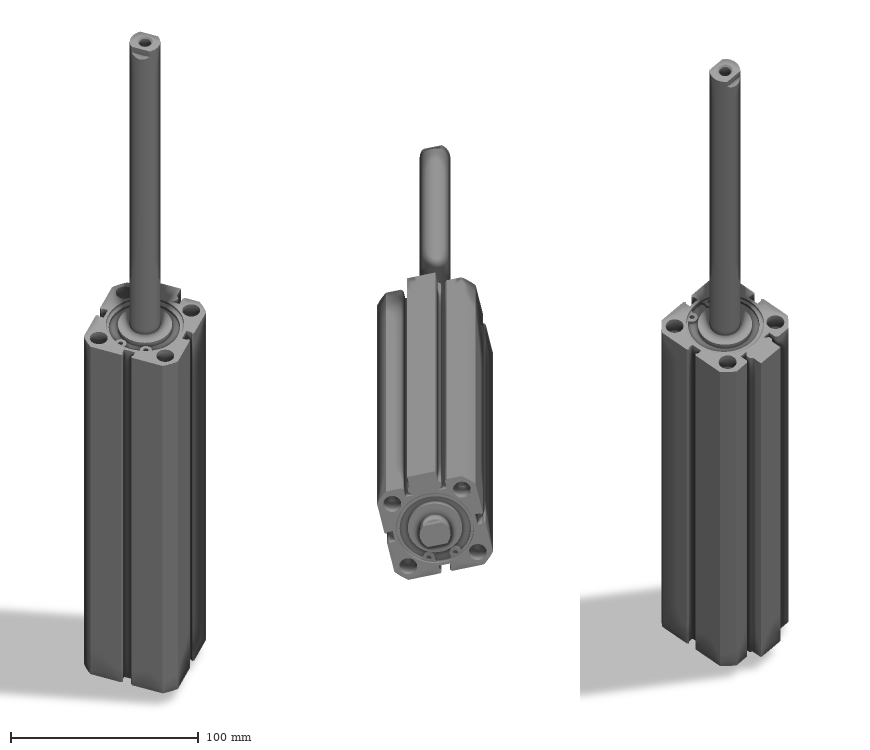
import cadquery as cq
import math


body_width = 54.0
body_height = 238.7
half_width = body_width / 2
corner_radius = 34.0
bore_radius = 21.0

slot_mouth = 3.0
slot_lip = 2.3
slot_inside = 3.0
slot_lip_depth = 1.0
slot_widening_depth = 2.0
slot_depth = 4.5

rail_rise = 6.0
rail_half_width = 7.5
rail_bulge = 1.5
rail_foot_half_width = 7.0
rail_root_depth = 10.0
groove_half_width = 11.5
groove_depth = 5.5
groove_mouth_chamfer = 1.15

bolt_pitch = 38.0
bolt_diameter = 5.5
counterbore_diameter = 9.5
counterbore_depth = 9.0

rod_length = 453.0
rod_overhang = 8.0
rod_radius = 8.0
flat_half_width = 6.5
flat_height = 4.0
thread_diameter = 6.5
countersink_diameter = 8.0
thread_depth = 11.5
drill_point_angle = 118.0

cover_length = 22.5
cover_boss_radius = 14.5
ring_recess = 1.5
ring_thickness = 2.0
ring_inner_radius = 19.0
ring_eccentricity = 1.0
ring_gap_half_width = 4.0
eye_radius = 3.0
eye_hole_radius = 1.5
eye_x = 7.2
eye_y = -17.0


def mirror_outline(points):
    """Close an outline given by its +X half, listed from one end to the other."""
    return points + [(-x, y) for x, y in reversed(points)]


def prism(points, height):
    return cq.Workplane("XY").polyline(points).close().extrude(height)


def make_slot():
    """Cutter for the slot in the -Y face."""
    lip_y = -half_width + slot_lip_depth
    inside_y = -half_width + slot_widening_depth
    floor_y = -half_width + slot_depth
    return prism(
        mirror_outline([
            (slot_mouth, -half_width),
            (slot_lip, lip_y),
            (slot_inside, inside_y),
            (slot_inside, floor_y),
        ]),
        body_height,
    )


def make_groove_channel():
    """Cutter that opens the +Y face across the rail and its two grooves."""
    return prism(
        mirror_outline([
            (groove_half_width, half_width - groove_depth),
            (groove_half_width, half_width - groove_mouth_chamfer),
            (groove_half_width + groove_mouth_chamfer, half_width),
        ]),
        body_height,
    )


def make_rail():
    bulge_half_width = rail_half_width + rail_bulge
    floor_y = half_width - groove_depth
    foot_rise = bulge_half_width - rail_foot_half_width
    return prism(
        mirror_outline([
            (rail_foot_half_width, half_width - rail_root_depth),
            (rail_foot_half_width, floor_y),
            (bulge_half_width, floor_y + foot_rise),
            (bulge_half_width, half_width - rail_bulge),
            (rail_half_width, half_width),
            (rail_half_width, half_width + rail_rise),
        ]),
        body_height,
    )


def make_bolt_holes():
    centres = [(x * bolt_pitch / 2, y * bolt_pitch / 2) for x in (-1, 1) for y in (-1, 1)]
    holes = cq.Workplane("XY").pushPoints(centres).circle(bolt_diameter / 2).extrude(body_height)
    for base in (0, body_height - counterbore_depth):
        counterbores = (
            cq.Workplane("XY", origin=(0, 0, base))
            .pushPoints(centres)
            .circle(counterbore_diameter / 2)
            .extrude(counterbore_depth)
        )
        holes = holes.union(counterbores)
    return holes


def make_housing():
    block = cq.Workplane("XY").rect(body_width, body_width).extrude(body_height)
    corner_limit = cq.Workplane("XY").circle(corner_radius).extrude(body_height)
    body = block.intersect(corner_limit)
    for angle in (-90, 0, 90):
        body = body.cut(make_slot().rotate((0, 0, 0), (0, 0, 1), angle))
    body = body.cut(make_groove_channel()).union(make_rail())
    bore = cq.Workplane("XY").circle(bore_radius).extrude(body_height)
    return body.cut(bore).cut(make_bolt_holes())


def make_rod():
    top = rod_length - rod_overhang
    rod = cq.Workplane("XY", origin=(0, 0, -rod_overhang)).circle(rod_radius).extrude(rod_length)

    run_out = rod_radius - flat_half_width
    for side in (-1, 1):
        for end, inward in ((top, -1), (-rod_overhang, 1)):
            flat = (
                cq.Workplane("YZ")
                .polyline([
                    (side * flat_half_width, end),
                    (side * flat_half_width, end + inward * flat_height),
                    (side * rod_radius, end + inward * (flat_height + run_out)),
                    (side * rod_radius, end),
                ])
                .close()
                .extrude(rod_radius, both=True)
            )
            rod = rod.cut(flat)

    thread_radius = thread_diameter / 2
    countersink_radius = countersink_diameter / 2
    point_depth = thread_radius / math.tan(math.radians(drill_point_angle / 2))
    hole = (
        cq.Workplane("XZ")
        .polyline([
            (0, top),
            (countersink_radius, top),
            (thread_radius, top - (countersink_radius - thread_radius)),
            (thread_radius, top - thread_depth),
            (0, top - thread_depth - point_depth),
        ])
        .close()
        .revolve(360, (0, 0, 0), (0, 1, 0))
    )
    return rod.cut(hole)


def at_both_ends(body):
    """The body at the top end of the housing and its mirror image at the base."""
    return [body, body.mirror("XY", (0, 0, body_height / 2))]


def make_cover():
    """Rod cover at the top end; its boss is flush with the housing."""
    flange_length = cover_length - ring_recess - ring_thickness
    return (
        cq.Workplane("XY", origin=(0, 0, body_height - cover_length))
        .circle(bore_radius)
        .extrude(flange_length)
        .faces(">Z")
        .workplane()
        .circle(cover_boss_radius)
        .extrude(cover_length - flange_length)
        .cut(cq.Workplane("XY").circle(rod_radius).extrude(body_height))
    )


def make_retaining_ring():
    """Open ring resting on the top cover, narrowing toward two eyes at its gap."""
    base = cq.Workplane("XY", origin=(0, 0, body_height - ring_recess - ring_thickness))
    eye_centres = [(-eye_x, eye_y), (eye_x, eye_y)]
    opening = base.center(0, -ring_eccentricity).circle(ring_inner_radius).extrude(ring_thickness)
    gap = base.center(0, -bore_radius).rect(2 * ring_gap_half_width, bore_radius).extrude(ring_thickness)
    eyes = base.pushPoints(eye_centres).circle(eye_radius).extrude(ring_thickness)
    eye_holes = base.pushPoints(eye_centres).circle(eye_hole_radius).extrude(ring_thickness)
    bore_disc = base.circle(bore_radius).extrude(ring_thickness)
    ring = bore_disc.cut(opening).union(eyes.intersect(bore_disc))
    return ring.cut(gap).cut(eye_holes)


housing = make_housing()
rod = make_rod()
covers = at_both_ends(make_cover())
retaining_rings = at_both_ends(make_retaining_ring())

result = cq.Compound.makeCompound([
    housing.val(),
    rod.val(),
    *[cover.val() for cover in covers],
    *[ring.val() for ring in retaining_rings],
])